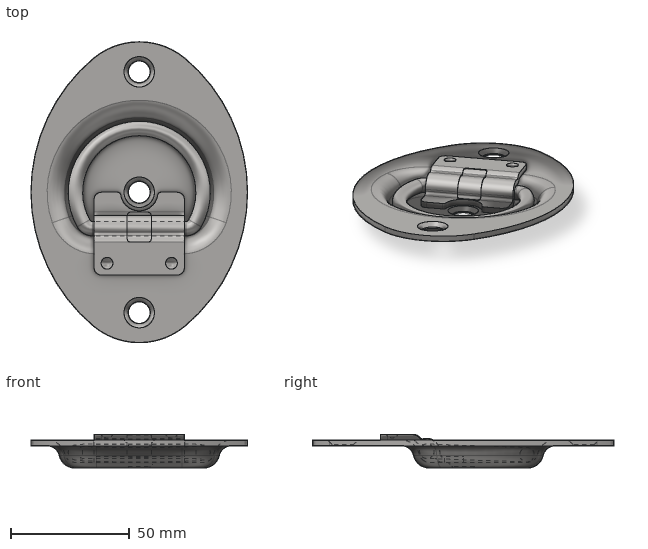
import cadquery as cq
import math

plate_length = 127.0
plate_width = 91.5
plate_side_radius = 73.7
sheet = 2.4

lip_radius = 38.9
lip_flat_y = -26.0
lip_corner_radius = 19.7
wall_run = 11.8
bowl_depth = 9.4
upper_bend_radius = 7.6

screw_offset = 50.8
screw_hole_diameter = 9.1
countersink_diameter = 12.8
countersink_angle = 90.0

bar_diameter = 6.1
ring_radius = 26.9
pin_y = -15.4
pin_z = -4.7
ring_corner_radius = 4.3
ring_tilt = 2.0

clip_width = 38.1
clip_end_y = -34.9
foot_end_y = 0.0
clip_corner_radius = 3.0
foot_bend_radius = 1.5
shoulder_y = -21.1
shoulder_radius = 3.4
valley_radius = 1.4
notch_radius = 7.9
notch_corner_radius = 1.3
recess_width = 10.2
recess_depth = 0.3
recess_corner_radius = 1.5
dimple_diameter = 5.0
dimple_depth = 1.5
dimple_spacing = 27.2
dimple_y = -30.0

floor_z = -bowl_depth
wall_bend_angle = 2 * math.atan(bowl_depth / wall_run)
lower_bend_radius = wall_run / math.sin(wall_bend_angle) - upper_bend_radius
bar_radius = bar_diameter / 2
hump_radius = bar_radius + sheet


def polar(center, radius, angle):
    return (center[0] + radius * math.cos(angle), center[1] + radius * math.sin(angle))


def d_outline(radius, flat_y, corner_radius, z=0.0):
    """Closed D about the Z axis: large arc, two corner arcs and a straight lower side."""
    corner_y = flat_y + corner_radius
    corner_x = math.sqrt((radius - corner_radius) ** 2 - corner_y ** 2)
    tangent_angle = math.atan2(corner_y, corner_x)
    mid_angle = (tangent_angle - math.pi / 2) / 2
    side = polar((0, 0), radius, tangent_angle)
    corner_mid = polar((corner_x, corner_y), corner_radius, mid_angle)
    return (
        cq.Workplane("XY", origin=(0, 0, z))
        .moveTo(0, flat_y)
        .lineTo(corner_x, flat_y)
        .threePointArc(corner_mid, side)
        .threePointArc((0, radius), (-side[0], side[1]))
        .threePointArc((-corner_mid[0], corner_mid[1]), (-corner_x, flat_y))
        .close()
    )


def make_oval():
    """Plate blank: two side arcs and two end arcs, tangent where they meet."""
    side_center_x = plate_side_radius - plate_width / 2
    half_length = plate_length / 2
    end_radius = (plate_side_radius ** 2 - side_center_x ** 2 - half_length ** 2) / (
        2 * (plate_side_radius - half_length)
    )
    end_center_y = half_length - end_radius
    x, y = polar((0, end_center_y), end_radius, math.atan2(end_center_y, side_center_x))
    return (
        cq.Workplane("XY")
        .moveTo(x, -y)
        .threePointArc((plate_width / 2, 0), (x, y))
        .threePointArc((0, half_length), (-x, y))
        .threePointArc((-plate_width / 2, 0), (-x, -y))
        .threePointArc((0, -half_length), (x, -y))
        .close()
        .extrude(-sheet)
    )


def make_bowl_wall():
    """S-shaped sheet section swept once around the bowl outline."""
    upper = (lip_flat_y, -upper_bend_radius)
    lower = (lip_flat_y + wall_run, floor_z + lower_bend_radius)
    up, down = math.pi / 2, -math.pi / 2

    def section_point(center, radius, start, share):
        return polar(center, radius, start - share * wall_bend_angle)

    outer_upper = upper_bend_radius - sheet
    outer_lower = lower_bend_radius + sheet
    section = (
        cq.Workplane("YZ")
        .moveTo(*section_point(upper, upper_bend_radius, up, 0))
        .threePointArc(
            section_point(upper, upper_bend_radius, up, 0.5),
            section_point(upper, upper_bend_radius, up, 1),
        )
        .threePointArc(
            section_point(lower, lower_bend_radius, down, 0.5),
            section_point(lower, lower_bend_radius, down, 0),
        )
        .lineTo(*section_point(lower, outer_lower, down, 0))
        .threePointArc(
            section_point(lower, outer_lower, down, 0.5),
            section_point(lower, outer_lower, down, 1),
        )
        .threePointArc(
            section_point(upper, outer_upper, up, 0.5),
            section_point(upper, outer_upper, up, 0),
        )
        .close()
    )
    return section.sweep(d_outline(lip_radius, lip_flat_y, lip_corner_radius))


def make_plate():
    opening = d_outline(lip_radius, lip_flat_y, lip_corner_radius).extrude(-sheet)
    floor = d_outline(
        lip_radius - wall_run, lip_flat_y + wall_run, lip_corner_radius - wall_run, floor_z
    ).extrude(-sheet)
    plate = make_oval().cut(opening).union(make_bowl_wall()).union(floor)
    for y, z in [(screw_offset, 0), (0, floor_z), (-screw_offset, 0)]:
        plate = (
            plate.copyWorkplane(cq.Workplane("XY", origin=(0, y, z)))
            .cskHole(screw_hole_diameter, countersink_diameter, countersink_angle, depth=sheet)
        )
    return plate


def make_ring():
    path = d_outline(ring_radius, pin_y, ring_corner_radius, pin_z)
    section = cq.Workplane("YZ").center(pin_y, pin_z).circle(bar_radius)
    level_ring = section.sweep(path)
    return level_ring.rotate((0, pin_y, pin_z), (1, pin_y, pin_z), -ring_tilt)


def clip_side(depth):
    """Arcs (start, middle, end) of the strap face lying `depth` below its upper face."""
    hump = (pin_y, pin_z)
    shoulder = (shoulder_y, sheet - shoulder_radius)
    foot_bend = (pin_y + hump_radius + foot_bend_radius, floor_z + sheet + foot_bend_radius)

    span = math.dist(shoulder, hump)
    to_shoulder = shoulder_radius + valley_radius
    to_hump = hump_radius + valley_radius
    line_angle = math.atan2(hump[1] - shoulder[1], hump[0] - shoulder[0])
    corner_angle = math.acos((to_shoulder ** 2 + span ** 2 - to_hump ** 2) / (2 * to_shoulder * span))
    shoulder_end = line_angle + corner_angle
    valley = polar(shoulder, to_shoulder, shoulder_end)
    hump_start = math.atan2(valley[1] - hump[1], valley[0] - hump[0])

    bends = [
        (shoulder, shoulder_radius - depth, math.pi / 2, shoulder_end),
        (valley, valley_radius + depth, shoulder_end + math.pi, hump_start + math.pi),
        (hump, hump_radius - depth, hump_start, 0),
        (foot_bend, foot_bend_radius + depth, math.pi, 1.5 * math.pi),
    ]
    return [
        [polar(center, radius, angle) for angle in (start, (start + end) / 2, end)]
        for center, radius, start, end in bends
    ]


def make_strap():
    """Bent strap of constant thickness, before its plan outline is trimmed."""
    shoulder, valley, hump, foot_bend = clip_side(0)
    under_shoulder, under_valley, under_hump, under_foot_bend = clip_side(sheet)
    return (
        cq.Workplane("YZ", origin=(-clip_width / 2, 0, 0))
        .moveTo(clip_end_y, sheet)
        .lineTo(*shoulder[0])
        .threePointArc(*shoulder[1:])
        .threePointArc(*valley[1:])
        .threePointArc(*hump[1:])
        .lineTo(*foot_bend[0])
        .threePointArc(*foot_bend[1:])
        .lineTo(foot_end_y, floor_z + sheet)
        .lineTo(foot_end_y, floor_z)
        .lineTo(*under_foot_bend[2])
        .threePointArc(*under_foot_bend[1::-1])
        .lineTo(*under_hump[2])
        .threePointArc(*under_hump[1::-1])
        .threePointArc(*under_valley[1::-1])
        .threePointArc(*under_shoulder[1::-1])
        .lineTo(clip_end_y, 0)
        .close()
        .extrude(clip_width)
    )


def make_notch():
    """Round notch around the middle screw hole, with rounded mouth corners."""
    mouth_x = math.sqrt((notch_radius + notch_corner_radius) ** 2 - notch_corner_radius ** 2)
    corner = (mouth_x, foot_end_y - notch_corner_radius)
    touch_angle = math.atan2(corner[1], corner[0])
    x, y = polar((0, 0), notch_radius, touch_angle)
    mid_x, mid_y = polar(corner, notch_corner_radius, (touch_angle + 1.5 * math.pi) / 2)
    return (
        cq.Workplane("XY", origin=(0, 0, floor_z))
        .moveTo(mouth_x, foot_end_y)
        .threePointArc((mid_x, mid_y), (x, y))
        .threePointArc((0, -notch_radius), (-x, y))
        .threePointArc((-mid_x, mid_y), (-mouth_x, foot_end_y))
        .close()
        .extrude(sheet)
    )


def make_recess(strap):
    """Shallow sunk panel that follows the bends across the middle of the strap."""
    end_y = pin_y + hump_radius + foot_bend_radius
    height = sheet - floor_z
    window = (
        cq.Workplane("XY", origin=(0, (shoulder_y + end_y) / 2, floor_z))
        .rect(recess_width, end_y - shoulder_y)
        .extrude(height)
        .edges("|Z")
        .fillet(recess_corner_radius)
    )
    return window.cut(strap.translate((0, 0, -recess_depth)))


def make_clip():
    strap = make_strap()
    clip = strap.edges("|Z and (<Y or >Y)").fillet(clip_corner_radius)
    clip = clip.cut(make_notch()).cut(make_recess(strap))
    dimple_radius = dimple_diameter / 2
    sphere_radius = (dimple_radius ** 2 + dimple_depth ** 2) / (2 * dimple_depth)
    for x in (-dimple_spacing / 2, dimple_spacing / 2):
        center = (x, dimple_y, sheet - dimple_depth + sphere_radius)
        clip = clip.cut(cq.Workplane("XY").sphere(sphere_radius).translate(center))
    return clip


plate = make_plate()
ring = make_ring()
clip = make_clip()

result = cq.Compound.makeCompound([plate.solids().val(), ring.val(), clip.solids().val()])